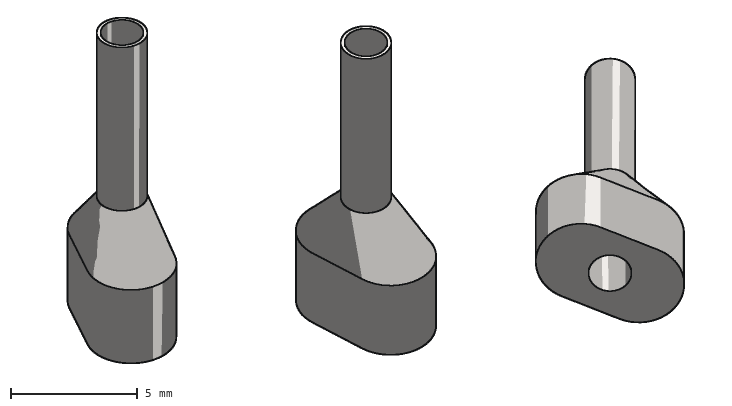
import cadquery as cq

total_height = 14.0
collar_width = 6.1
collar_depth = 3.6

base_height = 3.6
collar_height = 6.0

tube_diameter = 2.0
bore_diameter = 1.7

end_radius = collar_depth / 2
tube_radius = tube_diameter / 2
end_offset = collar_width / 2 - end_radius
tube_length = total_height - collar_height


def half_disc(sketch_plane, center_x, radius, side):
    """Half disc whose arc bulges towards +X (side = 1) or -X (side = -1)."""
    return (
        sketch_plane.moveTo(center_x, -radius)
        .threePointArc((center_x + side * radius, 0), (center_x, radius))
        .close()
    )


def make_shoulder_end(side):
    """Oblique half cone from one rounded end of the base to half of the tube's circle."""
    base_plane = cq.Workplane("XY", origin=(0, 0, base_height))
    top_plane = cq.Workplane("XY", origin=(0, 0, collar_height))
    lower = half_disc(base_plane, side * end_offset, end_radius, side).val()
    upper = half_disc(top_plane, 0, tube_radius, side).val()
    return cq.Workplane(cq.Solid.makeLoft([lower, upper], True))


def make_shoulder_middle():
    """Roof-shaped wedge between the half cones, with a triangle on the front and back."""
    left_front = cq.Vector(-end_offset, -end_radius, base_height)
    right_front = cq.Vector(end_offset, -end_radius, base_height)
    right_back = cq.Vector(end_offset, end_radius, base_height)
    left_back = cq.Vector(-end_offset, end_radius, base_height)
    ridge_front = cq.Vector(0, -tube_radius, collar_height)
    ridge_back = cq.Vector(0, tube_radius, collar_height)
    outlines = [
        [left_front, right_front, right_back, left_back],
        [left_front, right_front, ridge_front],
        [right_back, left_back, ridge_back],
        [right_front, right_back, ridge_back, ridge_front],
        [left_back, left_front, ridge_front, ridge_back],
    ]
    faces = [cq.Face.makeFromWires(cq.Wire.makePolygon(points, close=True)) for points in outlines]
    return cq.Workplane(cq.Solid.makeSolid(cq.Shell.makeShell(faces)))


def make_collar():
    """Two-wire collar: slot-shaped base, tapered shoulder and through bore."""
    collar = cq.Workplane("XY").slot2D(collar_width, collar_depth).extrude(base_height)
    collar = collar.union(make_shoulder_middle())
    for side in (-1, 1):
        collar = collar.union(make_shoulder_end(side))
    bore = cq.Workplane("XY").circle(bore_diameter / 2).extrude(collar_height)
    return collar.cut(bore)


def make_tube():
    """Crimp tube standing on the collar's top face."""
    return (
        cq.Workplane("XY", origin=(0, 0, collar_height))
        .circle(tube_radius)
        .circle(bore_diameter / 2)
        .extrude(tube_length)
    )


collar = make_collar()
tube = make_tube()

result = cq.Compound.makeCompound([collar.solids().val(), tube.val()])